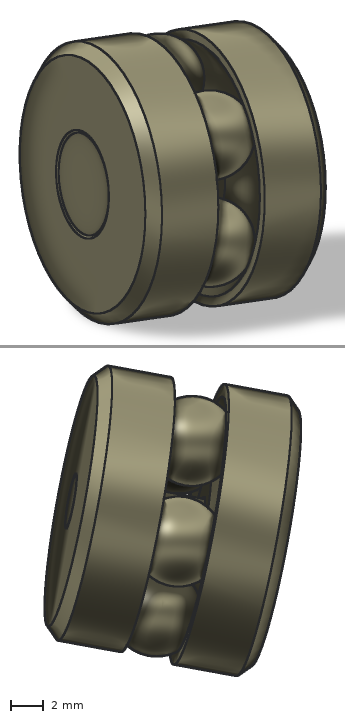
import cadquery as cq

FRONT_DIAMETER = 17.46
BACK_DIAMETER = 17.11
RACE_THICKNESS = 4.68
RACE_GAP = 3.33
RIM_CHAMFER = 0.75
BORE_DIAMETER = 3.42

BALL_COUNT = 5
BALL_DIAMETER = 5.52
PITCH_RADIUS = 5.75

SHAFT_DIAMETER = 3.18
HEAD_DIAMETER = 6.35
COUNTERSINK_DIAMETER = 6.7
HEAD_RECESS = 0.09

INNER_FACE = RACE_GAP / 2
OUTER_FACE = INNER_FACE + RACE_THICKNESS
BALL_RADIUS = BALL_DIAMETER / 2
SEAT_SLOPE = HEAD_RECESS / (COUNTERSINK_DIAMETER - HEAD_DIAMETER)
SEAT_DEPTH = (COUNTERSINK_DIAMETER - BORE_DIAMETER) * SEAT_SLOPE
HEAD_HEIGHT = (HEAD_DIAMETER - SHAFT_DIAMETER) * SEAT_SLOPE


def revolve_about_y(profile):
    """Turn a closed (radius, y) outline once around the Y axis."""
    return profile.close().revolve(360, (0, 0, 0), (0, 1, 0))


def make_ball_groove():
    """Ring swept by a ball rolling around the bearing axis."""
    ball_section = cq.Workplane("XY").center(PITCH_RADIUS, 0).circle(BALL_RADIUS)
    return ball_section.revolve(360, (-PITCH_RADIUS, 0, 0), (-PITCH_RADIUS, 1, 0))


def make_race(diameter, side):
    """Bored washer with a chamfered outer rim and a ball groove; side is -1 (front) or +1 (back)."""
    rim_radius = diameter / 2
    bore_radius = BORE_DIAMETER / 2
    outline = cq.Workplane("XY").polyline([
        (bore_radius, side * INNER_FACE),
        (rim_radius, side * INNER_FACE),
        (rim_radius, side * (OUTER_FACE - RIM_CHAMFER)),
        (rim_radius - RIM_CHAMFER, side * OUTER_FACE),
        (bore_radius, side * OUTER_FACE),
    ])
    return revolve_about_y(outline).cut(make_ball_groove())


def make_countersink():
    """Conical seat for the screw head in the front face."""
    outline = cq.Workplane("XY").polyline([
        (0, -OUTER_FACE),
        (COUNTERSINK_DIAMETER / 2, -OUTER_FACE),
        (BORE_DIAMETER / 2, -OUTER_FACE + SEAT_DEPTH),
        (0, -OUTER_FACE + SEAT_DEPTH),
    ])
    return revolve_about_y(outline)


def make_screw():
    """Flat-head screw, sunk in the front race and flush with the back race."""
    head_top = -OUTER_FACE + HEAD_RECESS
    outline = cq.Workplane("XY").polyline([
        (0, head_top),
        (HEAD_DIAMETER / 2, head_top),
        (SHAFT_DIAMETER / 2, head_top + HEAD_HEIGHT),
        (SHAFT_DIAMETER / 2, OUTER_FACE),
        (0, OUTER_FACE),
    ])
    return revolve_about_y(outline)


def make_ball(angle):
    """Ball on the pitch circle, carried from -X around the bearing axis by an angle in degrees."""
    ball = cq.Workplane("XY").sphere(BALL_RADIUS).translate((-PITCH_RADIUS, 0, 0))
    return ball.rotate((0, 0, 0), (0, 1, 0), angle)


front_race = make_race(FRONT_DIAMETER, -1).cut(make_countersink())
back_race = make_race(BACK_DIAMETER, 1)
screw = make_screw()
balls = [make_ball(i * 360 / BALL_COUNT) for i in range(BALL_COUNT)]

result = cq.Compound.makeCompound([
    front_race.val(),
    back_race.val(),
    screw.val(),
    *[ball.val() for ball in balls],
])